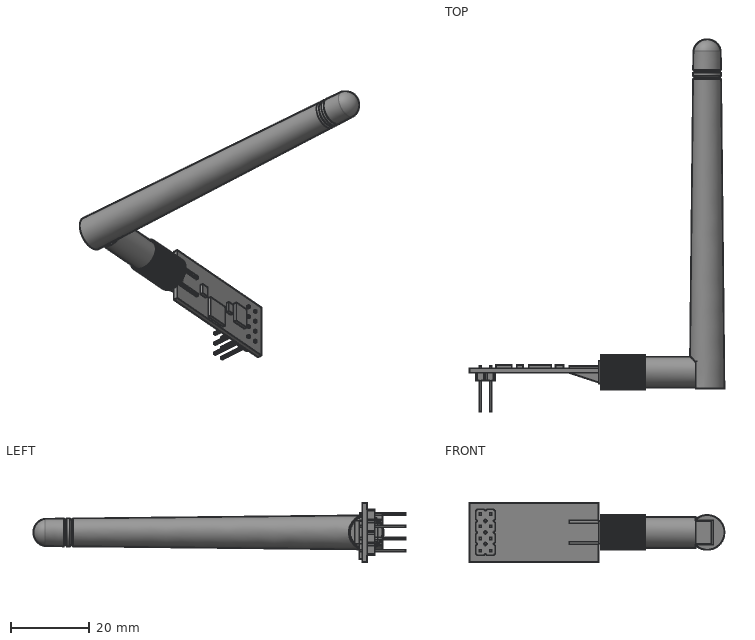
import cadquery as cq
import math


BOARD_LENGTH = 33.0
BOARD_HEIGHT = 15.1
BOARD_THICKNESS = 1.2
BOARD_FRONT_Y = -0.2
BOARD_BACK_Y = BOARD_FRONT_Y + BOARD_THICKNESS

HEADER_LEFT = 1.6
HEADER_COLUMNS = 2
HEADER_ROWS = 4
CELL_WIDTH = 2.5
CELL_HEIGHT = 2.9
CELL_DEPTH = 2.0
CELL_CHAMFER = 0.43
HEADER_CENTER_X = HEADER_LEFT + HEADER_COLUMNS * CELL_WIDTH / 2
PIN_PITCH_X = 2.7
PIN_PITCH_Z = 3.1
PIN_SIZE = 0.6
PIN_FRONT_Y = -10.1
PIN_BACK_Y = 1.6

CHIP_THICKNESS = 0.81
CHIPS = [
    (6.7, 10.8, -2.85, 2.85),
    (12.1, 13.7, -1.4, 1.4),
    (15.1, 20.9, -6.8, -0.95),
    (21.9, 24.0, -1.4, 1.4),
]

NUT_START_X = 33.5
FLANGE_SIZE = 5.9
LEG_START_X = 25.5
LEG_SPACING = 5.4
LEG_WIDTH = 0.7
LEG_BACK_Y = 1.6
LEG_FRONT_Y = -2.7

NUT_RADIUS = 4.5
NUT_LENGTH = 11.3
KNURL_TEETH = 44
KNURL_DEPTH = 0.3
KNURL_RINGS = 20
RING_GAP_SHARE = 0.4
STEM_RADIUS = 4.0
STEM_END_X = 57.7
NUT_END_X = NUT_START_X + NUT_LENGTH
TONGUE_END_X = 61.7
TONGUE_HEIGHT = 5.7
TONGUE_FRONT_Y = -2.8

ARM_RADIUS = 4.5
ARM_RIGHT_X = 65.1
ARM_CENTER_X = ARM_RIGHT_X - ARM_RADIUS
ARM_START_Y = -4.2
ARM_TIP_Y = 84.9
TIP_RADIUS = 3.5
DOME_HEIGHT = 2.9
BAND_RADIUS = 3.6
GROOVE_WIDTH = 0.9
GROOVE_DEPTH = 0.5
LOWER_GROOVE_Y = 75.1
UPPER_GROOVE_Y = 76.8
SLOT_END_X = 62.2
NOTCH_CLEARANCE = 0.14
NOTCH_RADIUS = STEM_RADIUS + NOTCH_CLEARANCE
SLOT_HEIGHT = 6.3


def block(x_range, y_range, z_range):
    """Rectangular block given by its limits along each axis."""
    sizes = [high - low for low, high in (x_range, y_range, z_range)]
    corner = (x_range[0], y_range[0], z_range[0])
    return cq.Workplane("XY").box(*sizes, centered=False).translate(corner)


def centered(size, center=0):
    """Limits of a span of the given size about its center."""
    return (center - size / 2, center + size / 2)


def cylinder_along_x(radius, start, end):
    return cq.Workplane("YZ", origin=(start, 0, 0)).circle(radius).extrude(end - start)


def grid(center_x, columns, pitch_x, rows, pitch_z):
    """(X, Z) positions of a rectangular grid centered on Z = 0."""
    return [
        (center_x + (i - (columns - 1) / 2) * pitch_x, (j - (rows - 1) / 2) * pitch_z)
        for i in range(columns)
        for j in range(rows)
    ]


def make_header():
    """Chamfered header cells on the front of the board, each with a pin through the board."""
    cells = cq.Workplane("XY")
    for x, z in grid(HEADER_CENTER_X, HEADER_COLUMNS, CELL_WIDTH, HEADER_ROWS, CELL_HEIGHT):
        depth_range = (BOARD_FRONT_Y - CELL_DEPTH, BOARD_FRONT_Y)
        cell = block(centered(CELL_WIDTH, x), depth_range, centered(CELL_HEIGHT, z))
        cells = cells.union(cell.edges("|Y").chamfer(CELL_CHAMFER))
    for x, z in grid(HEADER_CENTER_X, HEADER_COLUMNS, PIN_PITCH_X, HEADER_ROWS, PIN_PITCH_Z):
        pin = block(centered(PIN_SIZE, x), (PIN_FRONT_Y, PIN_BACK_Y), centered(PIN_SIZE, z))
        cells = cells.union(pin)
    return cells


def make_connector():
    """Square flange at the board edge, with two legs that taper off along the front face."""
    flange = block((BOARD_LENGTH, NUT_START_X), centered(FLANGE_SIZE), centered(FLANGE_SIZE))
    leg_outline = [
        (LEG_START_X, LEG_BACK_Y),
        (BOARD_LENGTH, LEG_BACK_Y),
        (BOARD_LENGTH, LEG_FRONT_Y),
        (LEG_START_X, BOARD_FRONT_Y),
    ]
    leg = cq.Workplane("XY").polyline(leg_outline).close().extrude(LEG_WIDTH / 2, both=True)
    for side in (-1, 1):
        flange = flange.union(leg.translate((0, 0, side * LEG_SPACING / 2)))
    return flange


def make_board():
    board = block((0, BOARD_LENGTH), (BOARD_FRONT_Y, BOARD_BACK_Y), centered(BOARD_HEIGHT))
    for left, right, bottom, top in CHIPS:
        chip = block((left, right), (BOARD_BACK_Y, BOARD_BACK_Y + CHIP_THICKNESS), (bottom, top))
        board = board.union(chip)
    return board.union(make_header()).union(make_connector())


def make_nut():
    """Nut whose knurl is a grid of small studs: a toothed bar crossed by ring grooves."""
    root_radius = NUT_RADIUS - KNURL_DEPTH
    half_step = math.pi / KNURL_TEETH
    tooth_outline = []
    for i in range(2 * KNURL_TEETH):
        radius = NUT_RADIUS if i % 2 == 0 else root_radius
        for angle in (i * half_step, (i + 1) * half_step):
            tooth_outline.append((radius * math.cos(angle), radius * math.sin(angle)))
    nut_plane = cq.Workplane("YZ", origin=(NUT_START_X, 0, 0))
    toothed_bar = nut_plane.polyline(tooth_outline).close().extrude(NUT_LENGTH)

    pitch = NUT_LENGTH / (KNURL_RINGS - RING_GAP_SHARE)
    gap = pitch * RING_GAP_SHARE
    groove_floor = root_radius * math.cos(half_step)
    ring = nut_plane.circle(NUT_RADIUS + KNURL_DEPTH).circle(groove_floor).extrude(gap)
    rings = [ring.translate((i * pitch - gap, 0, 0)).val() for i in range(1, KNURL_RINGS)]
    return toothed_bar.cut(cq.Workplane(cq.Compound.makeCompound(rings)))


def make_stem():
    shaft = cylinder_along_x(STEM_RADIUS, NUT_END_X, STEM_END_X)
    tongue = block(
        (STEM_END_X, TONGUE_END_X), (TONGUE_FRONT_Y, -TONGUE_FRONT_Y), centered(TONGUE_HEIGHT)
    )
    return make_nut().union(shaft).union(tongue)


def make_arm():
    """Tapered rod with two V-grooves and a domed tip, cut out for the stem and its tongue."""
    dome_base_y = ARM_TIP_Y - DOME_HEIGHT
    dome_radius = (TIP_RADIUS**2 + DOME_HEIGHT**2) / (2 * DOME_HEIGHT)
    half_angle = math.asin(TIP_RADIUS / dome_radius) / 2
    dome_middle = (
        dome_radius * math.sin(half_angle),
        ARM_TIP_Y - dome_radius * (1 - math.cos(half_angle)),
    )
    profile = cq.Workplane("XY", origin=(ARM_CENTER_X, 0, 0))
    profile = profile.moveTo(0, ARM_START_Y).lineTo(ARM_RADIUS, ARM_START_Y)
    for groove_y in (LOWER_GROOVE_Y, UPPER_GROOVE_Y):
        profile = profile.lineTo(BAND_RADIUS, groove_y - GROOVE_WIDTH / 2)
        profile = profile.lineTo(BAND_RADIUS - GROOVE_DEPTH, groove_y)
        profile = profile.lineTo(BAND_RADIUS, groove_y + GROOVE_WIDTH / 2)
    profile = profile.lineTo(TIP_RADIUS, dome_base_y).threePointArc(dome_middle, (0, ARM_TIP_Y))
    arm = profile.close().revolve(360, (0, 0, 0), (0, 1, 0))

    arm_left_x = ARM_CENTER_X - ARM_RADIUS
    stem_notch = cylinder_along_x(NOTCH_RADIUS, arm_left_x, STEM_END_X)
    open_front = block((arm_left_x, STEM_END_X), (ARM_START_Y, 0), centered(2 * ARM_RADIUS))
    slot = block((STEM_END_X, SLOT_END_X), (ARM_START_Y, -TONGUE_FRONT_Y), centered(SLOT_HEIGHT))
    return arm.cut(stem_notch).cut(open_front).cut(slot)


board = make_board()
stem = make_stem()
arm = make_arm()

result = cq.Compound.makeCompound([board.val(), stem.val(), arm.val()])